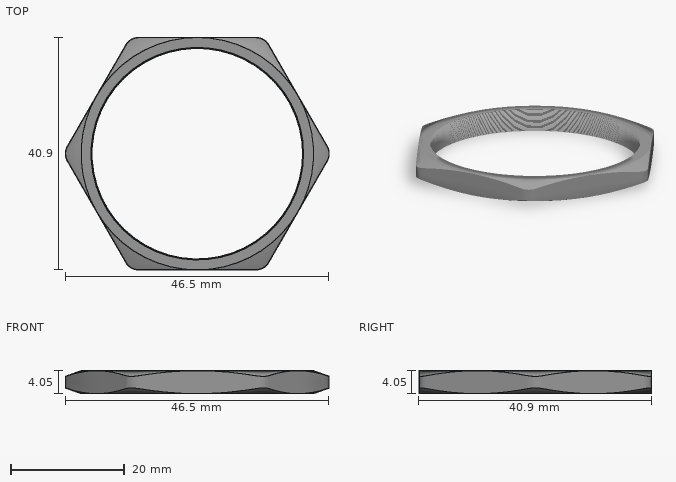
import cadquery as cq
import math

across_flats = 40.9
across_corners = 46.45
thickness = 4.05
bore_diameter = 37.05
corner_land = 2.05
groove_count = 20
groove_angle = 60.0
hexagon_sides = 6

half_thickness = thickness / 2

corner_stretch = 1 / math.cos(math.pi / hexagon_sides)
sharp_corners = across_flats * corner_stretch
corner_radius = (sharp_corners - across_corners) / 2 / (corner_stretch - 1)

groove_pitch = thickness / groove_count
groove_depth = groove_pitch / 2 / math.tan(math.radians(groove_angle / 2))


def rounded_hexagon():
    """Hexagonal plate centred on the origin, two corners on the X axis."""
    base = cq.Workplane("XY").workplane(offset=-half_thickness)
    plate = base.polygon(hexagon_sides, sharp_corners).extrude(thickness)
    return plate.edges("|Z").fillet(corner_radius)


def revolve_about_z(profile):
    """Full turn of an (r, z) outline around the Z axis."""
    return cq.Workplane("XZ").polyline(profile).close().revolve(360, (0, 0, 0), (0, 1, 0))


def chamfer_envelope():
    """Solid of revolution whose conical faces cut back the hexagon corners."""
    face_radius = across_flats / 2
    rim_radius = across_corners / 2
    half_land = corner_land / 2
    return revolve_about_z([
        (0, -half_thickness),
        (face_radius, -half_thickness),
        (rim_radius, -half_land),
        (rim_radius, half_land),
        (face_radius, half_thickness),
        (0, half_thickness),
    ])


def grooved_bore():
    """Through bore whose wall is a stack of V-shaped ring grooves."""
    crest_radius = bore_diameter / 2
    root_radius = crest_radius + groove_depth
    bottom = -half_thickness
    profile = [(0, bottom), (crest_radius, bottom)]
    for i in range(groove_count):
        profile.append((root_radius, bottom + (i + 0.5) * groove_pitch))
        profile.append((crest_radius, bottom + (i + 1) * groove_pitch))
    profile.append((0, half_thickness))
    return revolve_about_z(profile)


result = rounded_hexagon().intersect(chamfer_envelope()).cut(grooved_bore())